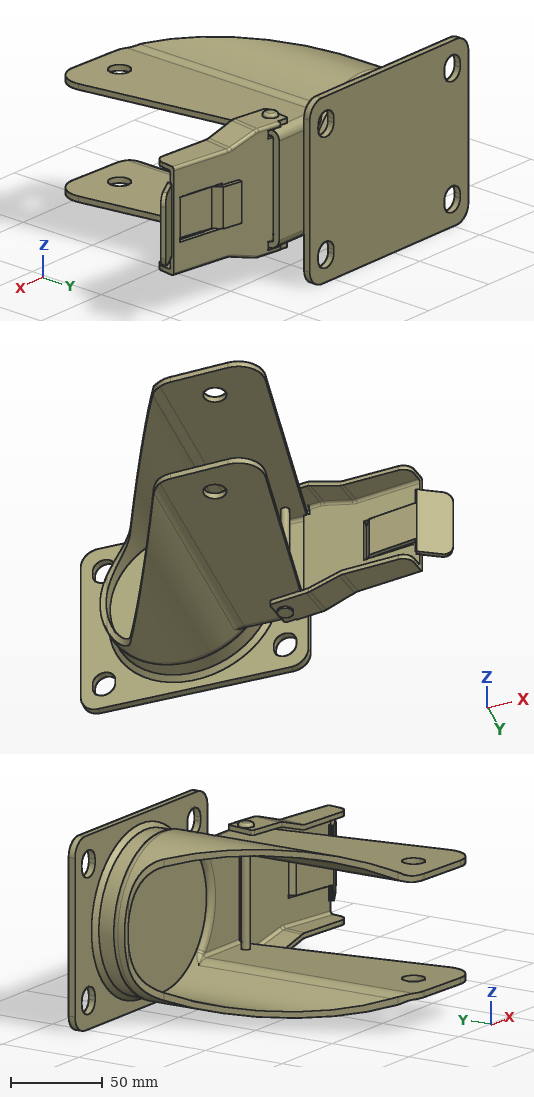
import cadquery as cq
import math


PLATE_LENGTH = 132.0
PLATE_WIDTH = 110.0
PLATE_THICKNESS = 4.3
PLATE_CORNER_RADIUS = 10.0
SLOT_WIDTH = 13.0
SLOT_LENGTH = 15.5
SLOT_SPACING_X = 105.0
SLOT_SPACING_Z = 77.5
COLLAR_RADIUS = 46.7
COLLAR_FLARE = 3.0
COLLAR_DEPTH = 18.0

SHEET = 3.5
CUP_RADIUS = 47.5
WEB_DEPTH = COLLAR_DEPTH
CUP_DEPTH = WEB_DEPTH - SHEET
BEND_RADIUS = 5.5
CUP_MOUTH_RADIUS = 3.4
ARM_HALF_WIDTH = 35.0
ARM_BLEND_RADIUS = 8.3
FORK_REACH = 112.2
FORK_DEPTH = 162.7
MARGIN = 0.2

LIP_DEPTH = 24.5
LIP_RADIUS = 19.8
TRAIL_TOP_X = -31.2
TRAIL_BOTTOM_X = 33.0
TRAIL_BOTTOM_DEPTH = 160.7
TOE_X = 94.5
TOE_DEPTH = 163.6
NOSE_X = 68.0
TOE_RADIUS = 15.0
AXLE_X = 61.0
AXLE_DEPTH = 142.0
AXLE_HOLE_DIAMETER = 12.8

PIN_X = 62.5
PIN_DEPTH = 31.6
PEDAL_TILT = 8.1
PEDAL_SHEET = 3.0
PEDAL_TOP = 10.8
PEDAL_BOTTOM = -9.2
PEDAL_START = -5.0
PEDAL_END = 79.0
TAPER_START = 19.0
TAPER_END = 38.8
TAPER_BEND_RADIUS = 8.3
TAIL_BOTTOM = -5.2
TAIL_CORNER_RADIUS = 6.7
EAR_HALF_WIDTH = 38.2
TAIL_HALF_WIDTH = 32.0
FLANGE_BEND_RADIUS = 1.8
EAR_CORNER_RADIUS = 1.3
WEB_START = 2.0
WEB_NOTCH_END = 7.5
ARM_NOTCH_END = 10.8
ARM_CLEARANCE = 1.0
WINDOW_START = 44.2
WINDOW_END = 74.5
WINDOW_HALF_WIDTH = 13.2

STRIP = 2.7
STRIP_TILT = 2.0
STRIP_JOG = 4.5
STRIP_HALF_WIDTH = 12.3
UPPER_LENGTH = 11.7
TONGUE_LENGTH = 29.9
TREAD_BEND = 78.5
SHOULDER_LENGTH = 1.1
SHOULDER_RADIUS = 0.7
TREAD_HALF_WIDTH = 21.3
TREAD_ANGLE = 40.0
TREAD_LENGTH = 20.2
TREAD_CORNER_RADIUS = 6.0

PIN_RADIUS = 2.5
HEAD_RADIUS = 4.5
HEAD_HEIGHT = 2.2
HEAD_ROUNDING = 2.0
FOOT_HEIGHT = 1.1


def disc(radius, top_depth, bottom_depth):
    """A cylinder on the swivel axis between two depths."""
    return (
        cq.Workplane("XZ", origin=(0, -top_depth, 0))
        .circle(radius)
        .extrude(bottom_depth - top_depth)
    )


def channel(inset):
    """The fork below the web: a round end that runs through concave blends into two flat sides."""
    radius = CUP_RADIUS - inset
    half_width = ARM_HALF_WIDTH - inset
    blend_radius = ARM_BLEND_RADIUS + inset
    blend_z = half_width + blend_radius
    blend_x = math.sqrt((radius + blend_radius) ** 2 - blend_z**2)
    to_cup = radius / (radius + blend_radius)
    cup_point = (blend_x * to_cup, blend_z * to_cup)
    towards = (math.atan2(-blend_z, -blend_x) + math.radians(-90)) / 2
    mid_point = (blend_x + blend_radius * math.cos(towards), blend_z + blend_radius * math.sin(towards))
    top = WEB_DEPTH + inset
    return (
        cq.Workplane("XZ", origin=(0, -top, 0))
        .moveTo(FORK_REACH, half_width)
        .lineTo(blend_x, half_width)
        .threePointArc(mid_point, cup_point)
        .threePointArc((-radius, 0), (cup_point[0], -cup_point[1]))
        .threePointArc((mid_point[0], -mid_point[1]), (blend_x, -half_width))
        .lineTo(FORK_REACH, -half_width)
        .close()
        .extrude(FORK_DEPTH + SHEET - top)
    )


def cup(inset):
    """The round cup, from its top down to well inside the channel."""
    return disc(CUP_RADIUS - inset, CUP_DEPTH + inset, WEB_DEPTH + 2 * BEND_RADIUS)


def fork_blank():
    """The solid outer form of the fork: a rounded channel under a rounded cup."""
    body = channel(0).faces(">Y").edges("not >X").fillet(BEND_RADIUS)
    return body.union(cup(0).faces(">Y").edges().fillet(BEND_RADIUS))


def fork_hollow():
    """The space inside the fork, with a rounded mouth where the cup meets the web."""
    body = channel(SHEET).faces(">Y").edges("not >X").fillet(BEND_RADIUS - SHEET)
    hollow = body.union(cup(SHEET))
    mouth_depth = WEB_DEPTH + SHEET
    near_mouth = cq.selectors.BoxSelector(
        (ARM_HALF_WIDTH, -mouth_depth - MARGIN, -CUP_RADIUS),
        (CUP_RADIUS, -mouth_depth + MARGIN, CUP_RADIUS),
    )
    return hollow.edges(near_mouth).edges("%CIRCLE").fillet(CUP_MOUTH_RADIUS)


def fork_side():
    """The side outline of the fork, as wide as the plate."""
    lip_x = -CUP_RADIUS - SHEET
    outline = (
        cq.Workplane("XY", origin=(0, 0, -PLATE_WIDTH / 2))
        .polyline(
            [
                (lip_x, 0),
                (lip_x, -LIP_DEPTH),
                (TRAIL_TOP_X, -LIP_DEPTH),
                (TRAIL_BOTTOM_X, -TRAIL_BOTTOM_DEPTH),
                (TOE_X, -TOE_DEPTH),
                (NOSE_X, 0),
            ]
        )
        .close()
        .extrude(PLATE_WIDTH)
    )
    rounded_corners = (
        (TRAIL_TOP_X, LIP_DEPTH, LIP_RADIUS),
        (TRAIL_BOTTOM_X, TRAIL_BOTTOM_DEPTH, TOE_RADIUS),
        (TOE_X, TOE_DEPTH, TOE_RADIUS),
    )
    for x, depth, radius in rounded_corners:
        corner = cq.selectors.NearestToPointSelector((x, -depth, 0))
        outline = outline.edges(corner).fillet(radius)
    return outline


def across_fork(x, depth, diameter):
    """A round bar along Z through both fork arms."""
    return (
        cq.Workplane("XY", origin=(x, -depth, -PLATE_WIDTH / 2))
        .circle(diameter / 2)
        .extrude(PLATE_WIDTH)
    )


def make_fork():
    """Sheet fork with its axle holes and the holes for the brake pin."""
    fork = fork_blank().cut(fork_hollow())
    fork = fork.intersect(fork_side())
    fork = fork.cut(across_fork(AXLE_X, AXLE_DEPTH, AXLE_HOLE_DIAMETER))
    return fork.cut(across_fork(PIN_X, PIN_DEPTH, 2 * PIN_RADIUS))


def make_plate():
    """Slotted mounting plate with a flared collar, recessed to seat the fork."""
    plate = (
        cq.Workplane("XZ")
        .rect(PLATE_LENGTH, PLATE_WIDTH)
        .extrude(PLATE_THICKNESS)
        .edges("|Y")
        .fillet(PLATE_CORNER_RADIUS)
        .cut(
            cq.Workplane("XZ")
            .rarray(SLOT_SPACING_X, SLOT_SPACING_Z, 2, 2)
            .slot2D(SLOT_LENGTH, SLOT_WIDTH, 90)
            .extrude(PLATE_THICKNESS)
        )
    )
    flare = (
        cq.Workplane("XZ", origin=(0, -PLATE_THICKNESS, 0))
        .circle(COLLAR_RADIUS + COLLAR_FLARE)
        .workplane(offset=COLLAR_FLARE)
        .circle(COLLAR_RADIUS)
        .loft()
    )
    collar = disc(COLLAR_RADIUS, PLATE_THICKNESS, COLLAR_DEPTH)
    return plate.union(collar).union(flare).cut(fork_blank())


def pedal_plan(inset, v_bottom, v_top):
    """The pedal seen from above, with its sides moved inward, between two heights."""
    ear = EAR_HALF_WIDTH - inset
    tail = TAIL_HALF_WIDTH - inset
    side = [(PEDAL_START, ear), (TAPER_START, ear), (TAPER_END, tail), (PEDAL_END, tail)]
    other_side = [(u, -z) for u, z in reversed(side)]
    return (
        cq.Workplane("XZ", origin=(0, v_bottom, 0))
        .polyline(side + other_side)
        .close()
        .extrude(v_bottom - v_top)
        .edges("|Y and (not(<X or >X))")
        .fillet(TAPER_BEND_RADIUS)
    )


def box(u_range, v_range, half_width):
    """A block between two U values and two V values, centred across the pedal."""
    return (
        cq.Workplane("XY", origin=(0, 0, -half_width))
        .moveTo(u_range[0], v_range[0])
        .lineTo(u_range[1], v_range[0])
        .lineTo(u_range[1], v_range[1])
        .lineTo(u_range[0], v_range[1])
        .close()
        .extrude(2 * half_width)
    )


def pedal_side():
    """Side outline of the pedal: level ears, then a tail that tapers from below."""
    ear_top = PEDAL_TOP - FLANGE_BEND_RADIUS
    side = (
        cq.Workplane("XY", origin=(0, 0, -EAR_HALF_WIDTH))
        .polyline(
            [
                (PEDAL_START, PEDAL_BOTTOM),
                (TAPER_START, PEDAL_BOTTOM),
                (PEDAL_END, TAIL_BOTTOM),
                (PEDAL_END, PEDAL_TOP),
                (WEB_START, PEDAL_TOP),
                (WEB_START, ear_top),
                (PEDAL_START, ear_top),
            ]
        )
        .close()
        .extrude(2 * EAR_HALF_WIDTH)
    )
    side = side.edges("|Z and <X").fillet(EAR_CORNER_RADIUS)
    tail_corner = cq.selectors.NearestToPointSelector((PEDAL_END, TAIL_BOTTOM, 0))
    return side.edges(tail_corner).fillet(TAIL_CORNER_RADIUS)


def pedal_shell():
    """Bent pedal sheet, notched around the fork and pierced by the strip window."""
    outer = pedal_plan(0, PEDAL_BOTTOM, PEDAL_TOP)
    outer = outer.faces(">Y").edges("not(<X or >X)").fillet(FLANGE_BEND_RADIUS)
    inner = pedal_plan(PEDAL_SHEET, PEDAL_BOTTOM, PEDAL_TOP - PEDAL_SHEET)
    inner = inner.faces(">Y").edges("not(<X or >X)").fillet(FLANGE_BEND_RADIUS)
    shell = outer.cut(inner).intersect(pedal_side())
    ear_gap = EAR_HALF_WIDTH - PEDAL_SHEET
    between_arms = ARM_HALF_WIDTH - SHEET - ARM_CLEARANCE
    web_notch = box((PEDAL_START, WEB_NOTCH_END), (0, PEDAL_TOP), ear_gap)
    arm_notch = box((PEDAL_START, ARM_NOTCH_END), (0, PEDAL_TOP), ear_gap)
    arm_notch = arm_notch.cut(box((PEDAL_START, ARM_NOTCH_END), (0, PEDAL_TOP), between_arms))
    window = box((WINDOW_START, WINDOW_END), (0, PEDAL_TOP), WINDOW_HALF_WIDTH)
    return shell.cut(web_notch).cut(arm_notch).cut(window)


def tread_strip():
    """Strip resting on the pedal web, jogged down through the window and bent up into a tread.

    It is laid out from the bottom of its tread bend and then tilted into the pedal.
    """
    miter = STRIP * math.tan(math.radians(45) / 2)
    jog_bottom = -TONGUE_LENGTH
    jog_top = jog_bottom - STRIP_JOG
    strip_start = jog_top - UPPER_LENGTH
    strip = (
        cq.Workplane("XY", origin=(0, 0, -STRIP_HALF_WIDTH))
        .polyline(
            [
                (0, 0),
                (jog_bottom, 0),
                (jog_top, STRIP_JOG),
                (strip_start, STRIP_JOG),
                (strip_start, STRIP_JOG + STRIP),
                (jog_top + miter, STRIP_JOG + STRIP),
                (jog_bottom + miter, STRIP),
                (0, STRIP),
            ]
        )
        .close()
        .extrude(2 * STRIP_HALF_WIDTH)
    )
    shoulder = box((-SHOULDER_LENGTH, 0), (0, STRIP), TREAD_HALF_WIDTH)
    shoulder = shoulder.edges("|Y and <X").fillet(SHOULDER_RADIUS)
    tread = box((0, TREAD_LENGTH), (0, STRIP), TREAD_HALF_WIDTH)
    tread = tread.edges("|Y and >X").fillet(TREAD_CORNER_RADIUS)
    tread = tread.rotate((0, 0, 0), (0, 0, 1), TREAD_ANGLE)
    strip = strip.union(shoulder).union(tread).rotate((0, 0, 0), (0, 0, 1), -STRIP_TILT)
    return strip.translate((TREAD_BEND, PEDAL_TOP - PEDAL_SHEET - STRIP, 0))


def pin_length(z_start, radius, length):
    """A round length of the brake pin, starting at a given Z."""
    return cq.Workplane("XY", origin=(0, 0, z_start)).circle(radius).extrude(length)


def brake_pin():
    """Pin through both ears, with a domed head and a flat foot."""
    shank = pin_length(-EAR_HALF_WIDTH, PIN_RADIUS, 2 * EAR_HALF_WIDTH)
    head = pin_length(EAR_HALF_WIDTH, HEAD_RADIUS, HEAD_HEIGHT)
    head = head.faces(">Z").edges().fillet(HEAD_ROUNDING)
    foot = pin_length(-EAR_HALF_WIDTH - FOOT_HEIGHT, HEAD_RADIUS, FOOT_HEIGHT)
    return shank.union(head).union(foot)


def make_brake():
    """Pedal, tread strip and pin as one brake, tilted about the pin."""
    brake = pedal_shell().union(tread_strip()).union(brake_pin())
    return brake.rotate((0, 0, 0), (0, 0, 1), -PEDAL_TILT).translate((PIN_X, -PIN_DEPTH, 0))


plate = make_plate()
fork = make_fork()
brake = make_brake()

result = cq.Compound.makeCompound([plate.val(), fork.val(), brake.val()])